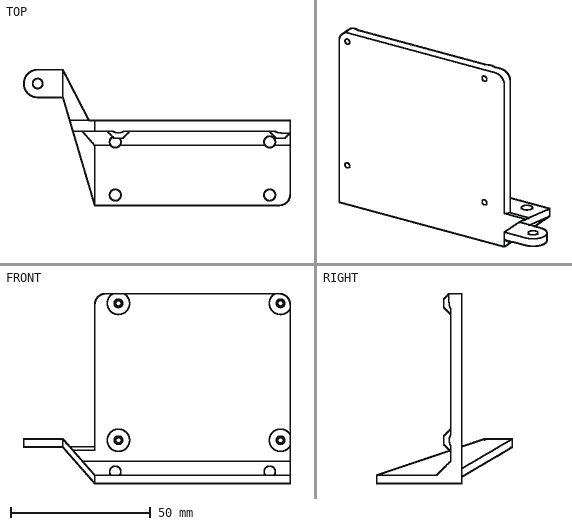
import cadquery as cq

width = 70.0
height = 68.0
base_thickness = 3.0
upright_front = 26.5
upright_thickness = 4.0
upright_back = upright_front + upright_thickness
corner_radius = 4.0

fill_depth = 5.0
fill_height = 5.0

part_depth = 48.64
tab_reach = 25.4
tab_width = 10.0
tab_radius = tab_width / 2
tab_front = part_depth - tab_width
tab_rise = 13.0
ramp_run = 11.4
tab_hole_diameter = 3.5

base_hole_diameter = 4.0
base_hole_spacing_x = 55.25
base_hole_first_x = (width - base_hole_spacing_x) / 2
base_hole_spacing_y = 19.0
base_hole_first_y = 3.75

board_hole_spacing_x = 58.0
board_hole_spacing_z = 49.0
board_hole_inset = 3.5
standoff_base_diameter = 8.0
standoff_tip_diameter = 3.0
standoff_length = 2.5
standoff_hole_diameter = 2.0


def make_base():
    base = cq.Workplane("XY").box(width, upright_back, base_thickness, centered=False)
    return base.edges("|Z and >X and <Y").fillet(corner_radius)


def make_upright():
    upright = cq.Workplane("XY").box(width, upright_thickness, height, centered=False)
    upright = upright.translate((0, upright_front, 0))
    return upright.edges("|Y and >Z").fillet(corner_radius)


def make_tab():
    center_x = tab_radius - tab_reach
    return (
        cq.Workplane("XY", origin=(0, 0, tab_rise))
        .moveTo(-ramp_run, tab_front)
        .lineTo(center_x, tab_front)
        .threePointArc((-tab_reach, tab_front + tab_radius), (center_x, part_depth))
        .lineTo(-ramp_run, part_depth)
        .close()
        .extrude(base_thickness)
        .cut(
            cq.Workplane("XY", origin=(center_x, tab_front + tab_radius, tab_rise))
            .circle(tab_hole_diameter / 2)
            .extrude(base_thickness)
        )
    )


def make_ramp():
    """Sloped plate of constant vertical thickness that narrows from the base to the tab."""
    footprint = (
        cq.Workplane("XY")
        .polyline([(0, 0), (0, upright_front), (-ramp_run, part_depth), (-ramp_run, tab_front)])
        .close()
        .extrude(tab_rise + base_thickness)
    )
    slope = (
        cq.Workplane("XZ")
        .polyline([
            (0, 0),
            (0, base_thickness),
            (-ramp_run, tab_rise + base_thickness),
            (-ramp_run, tab_rise),
        ])
        .close()
        .extrude(-part_depth)
    )
    return footprint.intersect(slope)


def make_corner_fill():
    """Triangular strip along the L, running left over the ramp."""
    return (
        cq.Workplane("YZ", origin=(-ramp_run, 0, 0))
        .moveTo(upright_front - fill_depth, base_thickness)
        .lineTo(upright_front, base_thickness + fill_height)
        .lineTo(upright_front, base_thickness)
        .close()
        .extrude(ramp_run + width)
    )


def make_gusset():
    """Web in line with the upright; its top follows the slope of the ramp's front edge."""
    top_slope = tab_rise / tab_front
    return (
        cq.Workplane("YZ", origin=(-ramp_run, 0, 0))
        .moveTo(upright_front, base_thickness)
        .lineTo(upright_front, base_thickness + top_slope * upright_front)
        .lineTo(upright_back, base_thickness + top_slope * upright_back)
        .lineTo(upright_back, base_thickness)
        .close()
        .extrude(ramp_run)
    )


def make_space_under_ramp_top():
    return (
        cq.Workplane("XZ")
        .polyline([
            (0, base_thickness),
            (-ramp_run, tab_rise + base_thickness),
            (-ramp_run, base_thickness),
        ])
        .close()
        .extrude(-part_depth)
    )


def standoff_points():
    right = width - board_hole_inset
    top = height - board_hole_inset
    return [
        (x, z)
        for x in (right - board_hole_spacing_x, right)
        for z in (top - board_hole_spacing_z, top)
    ]


def make_standoff(x, z):
    base_radius = standoff_base_diameter / 2
    cone = cq.Solid.makeCone(
        base_radius,
        standoff_tip_diameter / 2,
        standoff_length,
        pnt=cq.Vector(x, upright_front, z),
        dir=cq.Vector(0, -1, 0),
    )
    return cq.Workplane(cone)


def make_standoffs():
    """Cones on the upright's front face, trimmed flush with its outer edges."""
    envelope = (
        cq.Workplane("XY")
        .box(width, upright_back, height, centered=False)
        .edges("|Y and >Z")
        .fillet(corner_radius)
    )
    return [make_standoff(x, z).intersect(envelope) for x, z in standoff_points()]


def make_standoff_holes():
    return (
        cq.Workplane("XZ")
        .pushPoints(standoff_points())
        .circle(standoff_hole_diameter / 2)
        .extrude(-upright_back)
    )


def make_base_holes():
    columns_x = (base_hole_first_x, base_hole_first_x + base_hole_spacing_x)
    rows_y = (base_hole_first_y, base_hole_first_y + base_hole_spacing_y)
    return (
        cq.Workplane("XY")
        .pushPoints([(x, y) for x in columns_x for y in rows_y])
        .circle(base_hole_diameter / 2)
        .extrude(base_thickness + fill_height)
    )


webs = make_corner_fill().union(make_gusset()).cut(make_space_under_ramp_top())
body = make_base().union(make_upright()).union(make_ramp()).union(make_tab()).union(webs)
for standoff in make_standoffs():
    body = body.union(standoff)
result = body.cut(make_standoff_holes()).cut(make_base_holes())